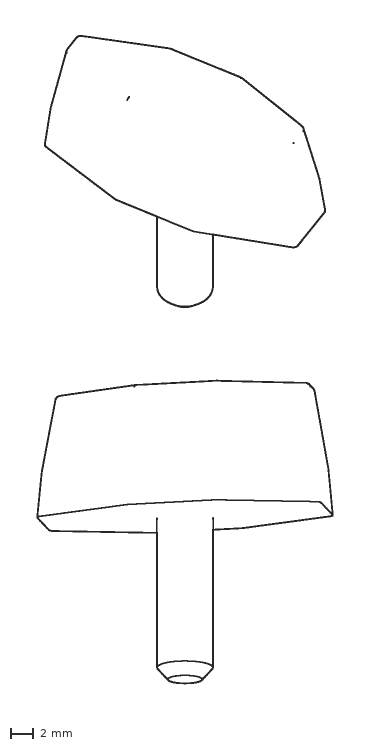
import cadquery as cq
import math

total_height = 26.5
head_bottom = 15.0
head_break = 19.3

bottom_outline = (12.998, 5.5, 4.0, 2.75)
break_outline = (12.7, 4.98, 3.98, 2.25)
top_outline = (11.63, 3.75, 3.65, 1.09)

side_corner_radius = 1.0
end_corner_radius = 0.5
top_edge_radius = 0.5

pin_radius = 5.0 / 2
tip_radius = 1.55
tip_height = 1.09
root_fillet = 0.2


def step_toward(start, end, distance):
    """Point on the line from start to end at the given distance from start."""
    fraction = distance / math.dist(start, end)
    return tuple(a + (b - a) * fraction for a, b in zip(start, end))


def corner_arc(before, corner, after, radius):
    """Start, middle and end of the round tangent to both sides of a corner."""
    angle_before = math.atan2(corner[1] - before[1], corner[0] - before[0])
    angle_after = math.atan2(after[1] - corner[1], after[0] - corner[0])
    half_turn = ((angle_after - angle_before) % math.tau) / 2
    setback = radius * math.tan(half_turn)
    start = step_toward(corner, before, setback)
    end = step_toward(corner, after, setback)
    chord_middle = tuple((a + b) / 2 for a, b in zip(start, end))
    corner_gap = radius * (1 / math.cos(half_turn) - 1)
    middle = step_toward(corner, chord_middle, corner_gap)
    return start, middle, end


def head_outline(sizes, height):
    """Rounded, symmetric octagon, counterclockwise, at the given height."""
    half_length, half_width, side_flat, end_flat = sizes
    corners = [
        (half_length, -end_flat),
        (half_length, end_flat),
        (side_flat, half_width),
        (-side_flat, half_width),
        (-half_length, end_flat),
        (-half_length, -end_flat),
        (-side_flat, -half_width),
        (side_flat, -half_width),
    ]
    arcs = []
    for i, corner in enumerate(corners):
        is_end_corner = abs(corner[0]) == half_length
        radius = end_corner_radius if is_end_corner else side_corner_radius
        following = corners[(i + 1) % len(corners)]
        arcs.append(corner_arc(corners[i - 1], corner, following, radius))

    outline = cq.Workplane("XY", origin=(0, 0, height)).moveTo(*arcs[0][0])
    for i, (start, middle, end) in enumerate(arcs):
        if i > 0:
            outline = outline.lineTo(*start)
        outline = outline.threePointArc(middle, end)
    return outline.close().val()


def tapered_block(lower, upper):
    return cq.Workplane(cq.Solid.makeLoft([lower, upper], True))


def make_head():
    bottom = head_outline(bottom_outline, head_bottom)
    middle = head_outline(break_outline, head_break)
    top = head_outline(top_outline, total_height)
    upper_block = tapered_block(middle, top).faces(">Z").edges().fillet(top_edge_radius)
    return tapered_block(bottom, middle).union(upper_block)


def make_pin():
    """Pin with a conical tip and a concave fillet flaring into the head."""
    fillet_sag = root_fillet * (1 - math.sqrt(0.5))
    return (
        cq.Workplane("XZ")
        .lineTo(tip_radius, 0)
        .lineTo(pin_radius, tip_height)
        .lineTo(pin_radius, head_bottom - root_fillet)
        .threePointArc(
            (pin_radius + fillet_sag, head_bottom - fillet_sag),
            (pin_radius + root_fillet, head_bottom),
        )
        .lineTo(0, head_bottom)
        .close()
        .revolve(360, (0, 0, 0), (0, 1, 0))
    )


result = make_head().union(make_pin())